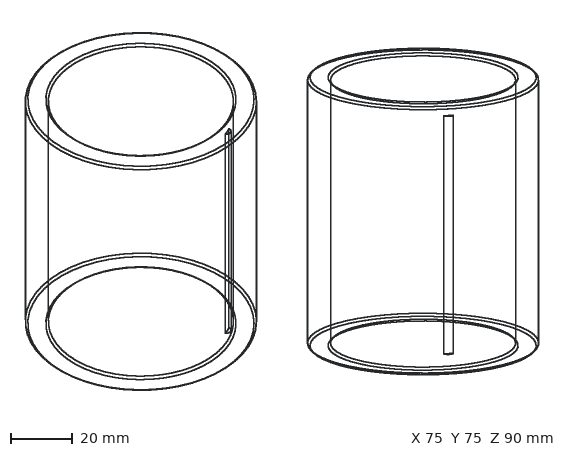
import cadquery as cq

length = 90.0
outer_diameter = 75.0
bore_diameter = 60.0
chamfer = 0.8

groove_diameter = 3.4
groove_inset = 0.5
groove_end_margin = 5.0
groove_length = length - 2 * groove_end_margin

sleeve = cq.Workplane("XY").circle(outer_diameter / 2).circle(bore_diameter / 2).extrude(length)

sleeve = sleeve.faces("<Z or >Z").edges().chamfer(chamfer)

groove = (
    cq.Workplane("XY", origin=(bore_diameter / 2 - groove_inset, 0, groove_end_margin))
    .circle(groove_diameter / 2)
    .extrude(groove_length)
)

result = sleeve.cut(groove)